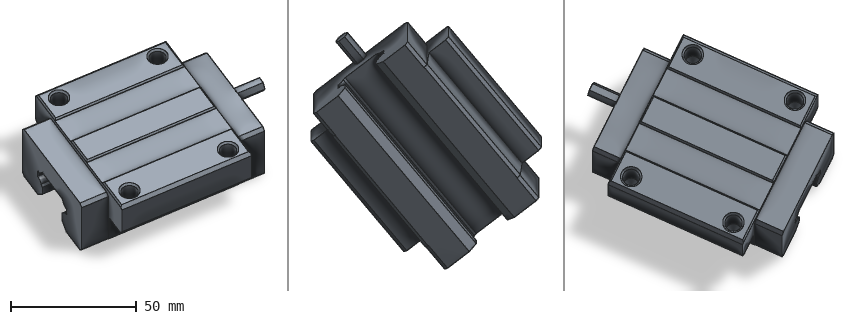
import cadquery as cq
import math

TOTAL_LENGTH = 95.5
BLOCK_LENGTH = 59.2
CAP_LENGTH = 12.1
NIPPLE_LENGTH = TOTAL_LENGTH - BLOCK_LENGTH - 2 * CAP_LENGTH
BLOCK_START = CAP_LENGTH
BLOCK_END = BLOCK_START + BLOCK_LENGTH
BODY_END = BLOCK_END + CAP_LENGTH

BLOCK_HALF_WIDTH = 70.0 / 2
BLOCK_HEIGHT = 30.5
FLANGE_BOTTOM = 14.4
SKIRT_TOP_HALF_WIDTH = 25.1
SKIRT_BOTTOM_HALF_WIDTH = 24.2
EDGE_CHAMFER = 1.4

GROOVE_DEPTH = 0.9
GROOVE_INNER_X = 6.5
GROOVE_OUTER_X = 19.1
PAD_CHAMFER = 0.7

CAP_HALF_WIDTH = 24.0
CAP_HEIGHT = 27.8

CHANNEL_NECK_HALF_WIDTH = 7.9
CHANNEL_WIDE_HALF_WIDTH = 11.65
CHANNEL_MIDDLE_Z = 12.0
SLOT_HALF_HEIGHT = 1.5
CHANNEL_HALF_HEIGHT = 4.4
MOUTH_CHAMFER = 3.5
NECK_BEVEL = 1.0
LIP_RADIUS = 3.0

HOLE_DIAMETER = 6.9
HOLE_MOUTH_DIAMETER = 8.5
HOLE_DEPTH = 11.5
HOLE_SPACING_X = 57.0
HOLE_SPACING_Y = 45.0
DRILL_POINT_ANGLE = 118.0

NIPPLE_ACROSS_CORNERS = 6.0
NIPPLE_HEIGHT = 5.0
NIPPLE_CENTRE_Z = 24.45


def extrude_symmetric(right_half, start_y, length):
    """Mirror an (x, z) half outline about X = 0 and extrude it toward +Y."""
    left_half = [(-x, z) for x, z in reversed(right_half)]
    plane = cq.Workplane("XZ", origin=(0, start_y, 0))
    return plane.polyline(right_half + left_half).close().extrude(-length)


def make_block():
    groove_floor = BLOCK_HEIGHT - GROOVE_DEPTH
    block = extrude_symmetric(
        [
            (SKIRT_BOTTOM_HALF_WIDTH - EDGE_CHAMFER, 0),
            (SKIRT_BOTTOM_HALF_WIDTH, EDGE_CHAMFER),
            (SKIRT_TOP_HALF_WIDTH, FLANGE_BOTTOM),
            (BLOCK_HALF_WIDTH - EDGE_CHAMFER, FLANGE_BOTTOM),
            (BLOCK_HALF_WIDTH, FLANGE_BOTTOM + EDGE_CHAMFER),
            (BLOCK_HALF_WIDTH, BLOCK_HEIGHT - EDGE_CHAMFER),
            (BLOCK_HALF_WIDTH - EDGE_CHAMFER, BLOCK_HEIGHT),
            (GROOVE_OUTER_X + PAD_CHAMFER, BLOCK_HEIGHT),
            (GROOVE_OUTER_X, BLOCK_HEIGHT - PAD_CHAMFER),
            (GROOVE_OUTER_X, groove_floor),
            (GROOVE_INNER_X, groove_floor),
            (GROOVE_INNER_X, BLOCK_HEIGHT - PAD_CHAMFER),
            (GROOVE_INNER_X - PAD_CHAMFER, BLOCK_HEIGHT),
        ],
        BLOCK_START,
        BLOCK_LENGTH,
    )
    for end_y, inward in ((BLOCK_START, 1), (BLOCK_END, -1)):
        wedge = (
            cq.Workplane("YZ")
            .polyline([
                (end_y, BLOCK_HEIGHT),
                (end_y + inward * PAD_CHAMFER, BLOCK_HEIGHT),
                (end_y, BLOCK_HEIGHT - PAD_CHAMFER),
            ])
            .close()
            .extrude(BLOCK_HALF_WIDTH, both=True)
        )
        block = block.cut(wedge)
    return block


def make_cap(start_y):
    return extrude_symmetric(
        [
            (CAP_HALF_WIDTH - EDGE_CHAMFER, 0),
            (CAP_HALF_WIDTH, EDGE_CHAMFER),
            (CAP_HALF_WIDTH, CAP_HEIGHT - EDGE_CHAMFER),
            (CAP_HALF_WIDTH - EDGE_CHAMFER, CAP_HEIGHT),
        ],
        start_y,
        CAP_LENGTH,
    )


def make_rail_channel():
    """Right half of the channel, mirrored: each slot edge runs off in a convex lip and a bevel."""
    neck_x = CHANNEL_NECK_HALF_WIDTH
    wide_x = CHANNEL_WIDE_HALF_WIDTH
    lip_x = neck_x + NECK_BEVEL
    lip_offset = CHANNEL_HALF_HEIGHT - NECK_BEVEL

    chord_x = wide_x - lip_x
    chord_z = lip_offset - SLOT_HALF_HEIGHT
    chord = math.hypot(chord_x, chord_z)
    sagitta = LIP_RADIUS - math.sqrt(LIP_RADIUS**2 - (chord / 2) ** 2)
    lip_middle_x = (wide_x + lip_x) / 2 - sagitta * chord_z / chord
    lip_middle_offset = (SLOT_HALF_HEIGHT + lip_offset) / 2 - sagitta * chord_x / chord

    right_half = (
        cq.Workplane("XZ")
        .moveTo(0, 0)
        .lineTo(neck_x + MOUTH_CHAMFER, 0)
        .lineTo(neck_x, MOUTH_CHAMFER)
        .lineTo(neck_x, CHANNEL_MIDDLE_Z - CHANNEL_HALF_HEIGHT)
        .lineTo(lip_x, CHANNEL_MIDDLE_Z - lip_offset)
        .threePointArc(
            (lip_middle_x, CHANNEL_MIDDLE_Z - lip_middle_offset),
            (wide_x, CHANNEL_MIDDLE_Z - SLOT_HALF_HEIGHT),
        )
        .lineTo(wide_x, CHANNEL_MIDDLE_Z + SLOT_HALF_HEIGHT)
        .threePointArc(
            (lip_middle_x, CHANNEL_MIDDLE_Z + lip_middle_offset),
            (lip_x, CHANNEL_MIDDLE_Z + lip_offset),
        )
        .lineTo(neck_x, CHANNEL_MIDDLE_Z + CHANNEL_HALF_HEIGHT)
        .lineTo(0, CHANNEL_MIDDLE_Z + CHANNEL_HALF_HEIGHT)
        .close()
        .extrude(-BODY_END)
    )
    return right_half.union(right_half.mirror("YZ"))


def make_mounting_hole():
    """Blind hole with a 45 degree mouth and a drill point, opening at Z = 0."""
    radius = HOLE_DIAMETER / 2
    mouth_radius = HOLE_MOUTH_DIAMETER / 2
    point_depth = radius / math.tan(math.radians(DRILL_POINT_ANGLE / 2))
    return (
        cq.Workplane("XZ")
        .polyline([
            (0, 0),
            (mouth_radius, 0),
            (radius, -(mouth_radius - radius)),
            (radius, -HOLE_DEPTH),
            (0, -HOLE_DEPTH - point_depth),
        ])
        .close()
        .revolve(360, (0, 0), (0, 1))
    )


def make_nipple():
    half_width = NIPPLE_ACROSS_CORNERS / 2
    half_height = NIPPLE_HEIGHT / 2
    return extrude_symmetric(
        [
            (half_width / 2, NIPPLE_CENTRE_Z - half_height),
            (half_width, NIPPLE_CENTRE_Z),
            (half_width / 2, NIPPLE_CENTRE_Z + half_height),
        ],
        BODY_END,
        NIPPLE_LENGTH,
    )


result = make_block().union(make_cap(0)).union(make_cap(BLOCK_END))
result = result.cut(make_rail_channel())

hole = make_mounting_hole()
block_middle = (BLOCK_START + BLOCK_END) / 2
for side_x in (-1, 1):
    for side_y in (-1, 1):
        hole_x = side_x * HOLE_SPACING_X / 2
        hole_y = block_middle + side_y * HOLE_SPACING_Y / 2
        result = result.cut(hole.translate((hole_x, hole_y, BLOCK_HEIGHT)))

result = result.union(make_nipple())